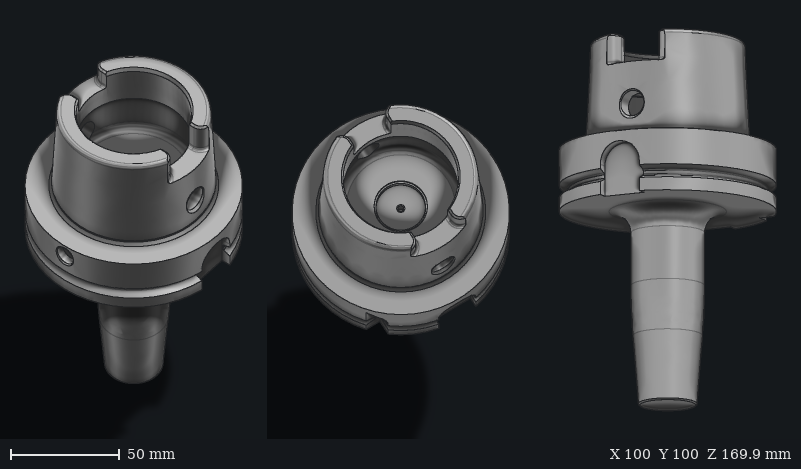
import cadquery as cq
import math

total_height = 169.9

nose_radius = 17.0
nose_taper = 4.5
taper_start_z = 32.6
blend_top_z = 56.0
tip_chamfer = 0.7
nose_fillet = 10.0

flange_diameter = 100.0
flange_radius = flange_diameter / 2
flange_bottom_z = 90.9
flange_top_z = 120.0
groove_z = 100.0
groove_bottom_radius = 46.0
groove_mouth_half = 3.0
groove_bottom_half = 1.4
groove_fillet = 0.8

shank_foot_radius = 37.9
shank_foot_z = 122.7
shank_slope = 1 / 20
shank_rim_fillet = 2.0
relief_depth = 0.7
relief_top_z = 121.8
relief_bottom_z = 121.0
relief_mouth_radius = 39.0

bore_radius = 26.5
bore_rim_radius = 27.4
bore_rim_z = 167.9
bore_undercut_radius = 28.9
bore_undercut_z = 149.9
bore_floor_z = 127.8
bore_floor_radius = 25.0

recess_radius = 11.4
recess_depth = 3.4
recess_step_radius = 12.2
recess_step_depth = 0.8
centre_hole_radius = 1.4
centre_hole_depth = 5.1
centre_hole_chamfer = 0.5

slot_half_width = 10.0
slot_flare_radius = 5.0
slot_flare_x = 27.5
slot_floor_fillet = 1.5
slot_edge_chamfer = 1.0
left_slot_z = 160.0
right_slot_z = 155.0

cross_hole_radius = 6.0
cross_hole_z = 135.2
cross_hole_sink_radius = 7.0
cross_hole_sink_runout = 0.8

key_half_width = 10.0
key_arc_z = 105.0
key_floor_x = 44.3
corner_key_floor_x = 31.8
corner_key_edge_y = 31.3

side_hole_radius = 4.8
side_hole_chamfer = 0.7
side_hole_z = 113.0
side_hole_depth = 4.6
vent_radius = 0.5
vent_depth = 1.7


def shank_radius(z):
    return shank_foot_radius - shank_slope * (z - shank_foot_z)


def make_body():
    """Solid of revolution: nose, flange and tapered shank."""
    taper = math.radians(nose_taper)
    blend_radius = (blend_top_z - taper_start_z) / math.sin(taper)

    def blend_point(angle):
        x = nose_radius - blend_radius * (1 - math.cos(angle))
        return (x, blend_top_z - blend_radius * math.sin(angle))

    cone_top_radius = blend_point(taper)[0]
    tip_radius = cone_top_radius - taper_start_z * math.tan(taper)
    fillet_bulge = nose_fillet * (1 - math.sqrt(0.5))
    fillet_middle = (nose_radius + fillet_bulge, flange_bottom_z - fillet_bulge)
    outline = (
        cq.Workplane("XZ")
        .moveTo(0, 0)
        .lineTo(tip_radius - tip_chamfer, 0)
        .lineTo(tip_radius + tip_chamfer * math.tan(taper), tip_chamfer)
        .lineTo(cone_top_radius, taper_start_z)
        .threePointArc(blend_point(taper / 2), (nose_radius, blend_top_z))
        .lineTo(nose_radius, flange_bottom_z - nose_fillet)
        .threePointArc(fillet_middle, (nose_radius + nose_fillet, flange_bottom_z))
        .lineTo(flange_radius, flange_bottom_z)
        .lineTo(flange_radius, flange_top_z)
        .lineTo(relief_mouth_radius, flange_top_z)
        .lineTo(shank_foot_radius - relief_depth, relief_bottom_z)
        .lineTo(shank_foot_radius - relief_depth, relief_top_z)
        .lineTo(shank_foot_radius, shank_foot_z)
        .lineTo(shank_radius(total_height), total_height)
        .lineTo(0, total_height)
        .close()
    )
    body = outline.revolve(360, (0, 0, 0), (0, 1, 0))
    return body.faces(">Z").edges().fillet(shank_rim_fillet)


def make_groove():
    """V-shaped ring cutter with a flat, filleted bottom."""
    ring = (
        cq.Workplane("XZ")
        .moveTo(flange_radius, groove_z - groove_mouth_half)
        .lineTo(groove_bottom_radius, groove_z - groove_bottom_half)
        .lineTo(groove_bottom_radius, groove_z + groove_bottom_half)
        .lineTo(flange_radius, groove_z + groove_mouth_half)
        .close()
        .revolve(360, (0, 0, 0), (0, 1, 0))
    )
    reach = groove_bottom_radius + 0.2
    low_corner = (-reach, -reach, groove_z - 1.7)
    high_corner = (reach, reach, groove_z + 1.7)
    bottom = cq.selectors.BoxSelector(low_corner, high_corner, True)
    return ring.edges(bottom).fillet(groove_fillet)


def make_bore():
    """Stepped bore with a lead-in cone, an undercut and a filleted floor."""
    fillet_radius = bore_undercut_radius - bore_floor_radius
    fillet_top_z = bore_floor_z + fillet_radius
    fillet_bulge = fillet_radius * (1 - math.sqrt(0.5))
    fillet_middle = (bore_undercut_radius - fillet_bulge, bore_floor_z + fillet_bulge)
    return (
        cq.Workplane("XZ")
        .moveTo(0, bore_floor_z)
        .lineTo(bore_floor_radius, bore_floor_z)
        .threePointArc(fillet_middle, (bore_undercut_radius, fillet_top_z))
        .lineTo(bore_undercut_radius, bore_undercut_z)
        .lineTo(bore_radius, bore_undercut_z)
        .lineTo(bore_radius, bore_rim_z)
        .lineTo(bore_rim_radius, total_height)
        .lineTo(0, total_height)
        .close()
        .revolve(360, (0, 0, 0), (0, 1, 0))
    )


def make_chamfered_hole(mouth, radius, depth, chamfer):
    """Round hole going down from the mouth plane, its rim widened at 45 degrees."""
    hole = mouth.circle(radius).extrude(-depth)
    cone = mouth.circle(radius + chamfer).workplane(offset=-chamfer).circle(radius).loft(combine=True)
    return hole.union(cone)


def make_countersink():
    """45 degree cone at the +X mouth of the cross hole, running out past the tapered wall."""
    wall = shank_radius(cross_hole_z)
    inner_x = wall - (cross_hole_sink_radius - cross_hole_radius)
    outer_x = wall + cross_hole_sink_runout
    outer_radius = cross_hole_sink_radius + cross_hole_sink_runout
    return cq.Workplane(
        cq.Solid.makeCone(
            cross_hole_radius,
            outer_radius,
            outer_x - inner_x,
            cq.Vector(inner_x, 0, cross_hole_z),
            cq.Vector(1, 0, 0),
        )
    )


def slot_outline(z, growth=0.0):
    """Slot outline, widened by growth around the fixed centres of its flares."""
    half_width = slot_half_width + growth
    radius = slot_flare_radius - growth
    flare_y = half_width + radius
    flare_x = slot_flare_x + radius
    arc_x = slot_flare_x + radius * math.sqrt(0.5)
    arc_y = flare_y - radius * math.sqrt(0.5)
    return (
        cq.Workplane("XY", origin=(0, 0, z))
        .moveTo(0, -half_width)
        .lineTo(slot_flare_x, -half_width)
        .threePointArc((arc_x, -arc_y), (flare_x, -flare_y))
        .lineTo(flange_radius, -flare_y)
        .lineTo(flange_radius, flare_y)
        .lineTo(flare_x, flare_y)
        .threePointArc((arc_x, arc_y), (slot_flare_x, half_width))
        .lineTo(0, half_width)
        .close()
    )


def make_slot(floor_z):
    """Drive slot open toward +X, with a filleted floor and chamfered upper edges."""
    slot = slot_outline(floor_z).extrude(total_height - floor_z)
    slot = slot.faces("<Z").edges("not(<X or >X)").fillet(slot_floor_fillet)
    lower = slot_outline(total_height - slot_edge_chamfer).wires().val()
    upper = slot_outline(total_height, slot_edge_chamfer).wires().val()
    return slot.union(cq.Workplane(cq.Solid.makeLoft([lower, upper], True)))


def make_keyway(floor_x, center_y):
    """Round-topped slot in the flange rim, open downward and outward from its flat floor."""
    left_y = center_y - key_half_width
    right_y = center_y + key_half_width
    profile = (
        cq.Workplane("YZ", origin=(floor_x, 0, 0))
        .moveTo(left_y, flange_bottom_z)
        .lineTo(left_y, key_arc_z)
        .threePointArc((center_y, key_arc_z + key_half_width), (right_y, key_arc_z))
        .lineTo(right_y, flange_bottom_z)
        .close()
    )
    return profile.extrude(math.copysign(flange_radius, floor_x))


result = make_body().cut(make_groove()).cut(make_bore())

bore_floor = cq.Workplane("XY", origin=(0, 0, bore_floor_z))
result = result.cut(bore_floor.circle(recess_step_radius).extrude(-recess_step_depth))
result = result.cut(bore_floor.circle(recess_radius).extrude(-recess_depth))
recess_floor = cq.Workplane("XY", origin=(0, 0, bore_floor_z - recess_depth))
result = result.cut(
    make_chamfered_hole(recess_floor, centre_hole_radius, centre_hole_depth, centre_hole_chamfer)
)

result = result.cut(make_slot(right_slot_z))
result = result.cut(make_slot(left_slot_z).mirror("YZ"))

cross_hole = cq.Workplane("YZ", origin=(0, 0, cross_hole_z)).circle(cross_hole_radius)
result = result.cut(cross_hole.extrude(shank_foot_radius, both=True))
result = result.cut(make_countersink())
result = result.cut(make_countersink().mirror("YZ"))

result = result.cut(make_keyway(key_floor_x, 0))
result = result.cut(make_keyway(-key_floor_x, 0))
result = result.cut(make_keyway(-corner_key_floor_x, corner_key_edge_y + key_half_width))

flange_side = cq.Workplane("XZ", origin=(0, -flange_radius, side_hole_z))
result = result.cut(make_chamfered_hole(flange_side, side_hole_radius, side_hole_depth, side_hole_chamfer))
result = result.cut(flange_side.circle(vent_radius).extrude(-side_hole_depth - vent_depth))